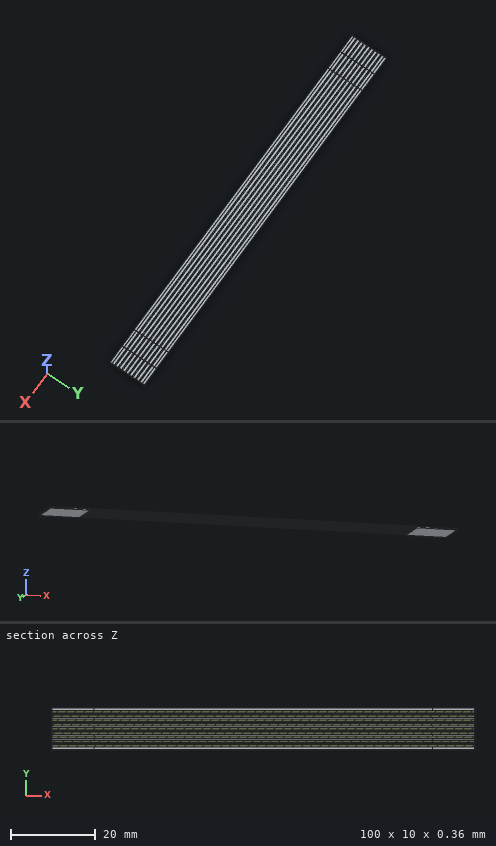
import cadquery as cq


cable_length = 100.0
cable_width = 10.0
total_thickness = 0.36

stiffener_thickness = 0.24
conductor_thickness = 0.02
film_thickness = (total_thickness - stiffener_thickness - conductor_thickness) / 2

stiffener_length = 10.0
contact_length = 5.0
cover_length = cable_length - 2 * contact_length

conductor_count = 9
conductor_pitch = 1.0
conductor_width = 0.7

base_z = stiffener_thickness
conductor_z = base_z + film_thickness
cover_z = conductor_z + conductor_thickness


def strip(length, width, thickness, bottom_z, x=0.0, y=0.0):
    """Flat strip centred on (x, y) with its underside at bottom_z."""
    block = cq.Workplane("XY").box(length, width, thickness, centered=(True, True, False))
    return block.translate((x, y, bottom_z))


def add_stiffeners(body):
    """Support plates under both ends of the base film."""
    end_offset = (cable_length - stiffener_length) / 2
    for x in (-end_offset, end_offset):
        body = body.union(strip(stiffener_length, cable_width, stiffener_thickness, 0.0, x=x))
    return body


def add_conductors(body):
    """Parallel conductors along the full length, evenly spaced about the centre line."""
    first_y = -conductor_pitch * (conductor_count - 1) / 2
    for index in range(conductor_count):
        y = first_y + index * conductor_pitch
        body = body.union(
            strip(cable_length, conductor_width, conductor_thickness, conductor_z, y=y)
        )
    return body


def add_cover(body):
    """Cover film that leaves the conductors bare at both ends."""
    return body.union(strip(cover_length, cable_width, film_thickness, cover_z))


base_film = strip(cable_length, cable_width, film_thickness, base_z)
result = add_cover(add_conductors(add_stiffeners(base_film)))